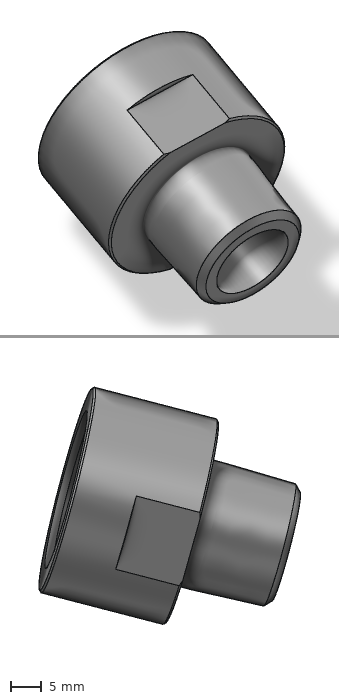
import cadquery as cq

total_length = 37.0

body_diameter = 34.5
body_length = 21.1
body_chamfer = 0.35

flat_start = 10.1
across_flats = 32.0

spigot_diameter = 21.28
straight_end = 23.83
diameter_taper = 1 / 16
tip_diameter = 18.2
tip_chamfer_length = 1.1
shoulder_fillet = 0.25

socket_diameter = 24.12
socket_mouth_diameter = 26.45
socket_mouth_depth = 1.2
socket_depth = 17.02
through_diameter = 14.0
through_chamfer = 0.37


def revolve_about_x(points):
    """Turn a closed (x, radius) outline about the X axis."""
    return cq.Workplane("XY").polyline(points).close().revolve(360, (0, 0, 0), (1, 0, 0))


def make_outer_shape():
    """Body and tapered spigot as one solid turning."""
    body_radius = body_diameter / 2
    spigot_radius = spigot_diameter / 2
    taper_end = total_length - tip_chamfer_length
    taper_end_radius = spigot_radius - (taper_end - straight_end) * diameter_taper / 2
    return revolve_about_x([
        (0, 0),
        (0, body_radius - body_chamfer),
        (body_chamfer, body_radius),
        (body_length - body_chamfer, body_radius),
        (body_length, body_radius - body_chamfer),
        (body_length, spigot_radius),
        (straight_end, spigot_radius),
        (taper_end, taper_end_radius),
        (total_length, tip_diameter / 2),
        (total_length, 0),
    ])


def fillet_spigot_root(shape):
    """Round the inner corner where the spigot meets the shoulder."""
    shoulder_face = shape.faces(">X[-2]")
    smallest_circle = cq.selectors.RadiusNthSelector(0)
    return shoulder_face.edges(smallest_circle).fillet(shoulder_fillet)


def cut_wrench_flats(shape):
    """Mill two parallel flats, facing +Z and -Z, into the shoulder end of the body."""
    flat_length = body_length - flat_start
    cut_depth = (body_diameter - across_flats) / 2
    cut_center_x = flat_start + flat_length / 2
    cut_center_z = (across_flats + cut_depth) / 2
    cutter = cq.Workplane("XY").box(flat_length, body_diameter, cut_depth)
    for side in (1, -1):
        shape = shape.cut(cutter.translate((cut_center_x, 0, side * cut_center_z)))
    return shape


def make_bore():
    """Socket with a conical mouth, then a chamfered hole through the spigot."""
    socket_radius = socket_diameter / 2
    through_radius = through_diameter / 2
    return revolve_about_x([
        (0, 0),
        (0, socket_mouth_diameter / 2),
        (socket_mouth_depth, socket_radius),
        (socket_depth, socket_radius),
        (socket_depth, through_radius + through_chamfer),
        (socket_depth + through_chamfer, through_radius),
        (total_length, through_radius),
        (total_length, 0),
    ])


outer_shape = fillet_spigot_root(make_outer_shape())
result = cut_wrench_flats(outer_shape).cut(make_bore())